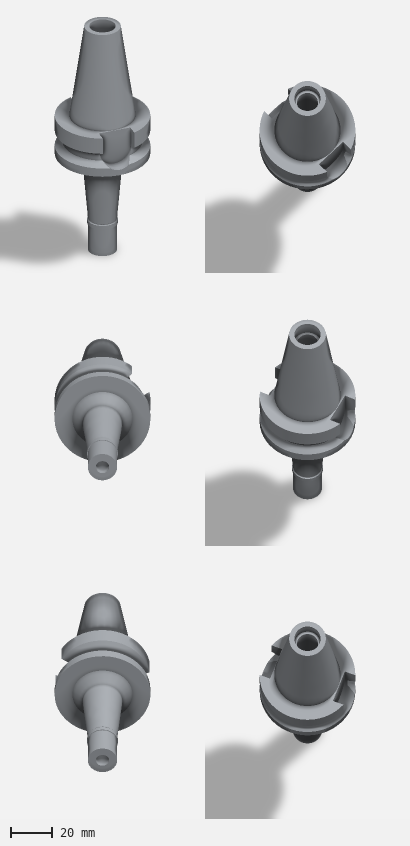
import cadquery as cq

TOTAL_HEIGHT = 123.4
TAPER_BASE_Z = 74.8
FLANGE_TOP_Z = 74.2
GROOVE_UPPER_EDGE_Z = 65.8
GROOVE_FLOOR_TOP_Z = 63.2
GROOVE_FLOOR_BOTTOM_Z = 59.8
GROOVE_LOWER_EDGE_Z = 57.6
FLANGE_BOTTOM_Z = 53.1
NECK_TOP_Z = 48.2
HOLDER_BOTTOM_Z = 17.6
COLLAR_TOP_Z = 16.9
COLLAR_BOTTOM_Z = 14.8

TAPER_BASE_RADIUS = 15.9
TAPER_RATIO = 7 / 24
TAPER_TIP_RADIUS = TAPER_BASE_RADIUS - TAPER_RATIO * (TOTAL_HEIGHT - TAPER_BASE_Z) / 2
FLANGE_DIAMETER = 46.0
FLANGE_RADIUS = FLANGE_DIAMETER / 2
GROOVE_RADIUS = 19.3
NECK_TOP_RADIUS = 9.6
SHOULDER_RADIUS = NECK_TOP_RADIUS + FLANGE_BOTTOM_Z - NECK_TOP_Z
NECK_BOTTOM_RADIUS = 7.0

SLOT_WIDTH = 16.2
SLOT_RADIUS = SLOT_WIDTH / 2
SLOT_FLOOR_X = 16.2
SLOT_BOTTOM_Z = 56.0
SLOT_DEPTH = FLANGE_RADIUS - SLOT_FLOOR_X

COUNTERBORE_RADIUS = 6.3
COUNTERBORE_DEPTH = 6.9
MIDDLE_BORE_RADIUS = 5.0
MIDDLE_BORE_BOTTOM_Z = FLANGE_BOTTOM_Z
LOWER_BORE_RADIUS = 4.0

NUT_RADIUS = 7.0
COLLAR_RADIUS = 7.4
NUT_NECK_RADIUS = 6.3
NUT_BORE_RADIUS = 3.2


def cylinder(radius, bottom_z, top_z):
    """Solid cylinder about the Z axis."""
    return cq.Workplane("XY").workplane(offset=bottom_z).circle(radius).extrude(top_z - bottom_z)


def make_blank():
    """Turned outside of the holder, as (radius, height) points."""
    profile = [
        (0, HOLDER_BOTTOM_Z),
        (NECK_BOTTOM_RADIUS, HOLDER_BOTTOM_Z),
        (NECK_TOP_RADIUS, NECK_TOP_Z),
        (SHOULDER_RADIUS, FLANGE_BOTTOM_Z),
        (FLANGE_RADIUS, FLANGE_BOTTOM_Z),
        (FLANGE_RADIUS, GROOVE_LOWER_EDGE_Z),
        (GROOVE_RADIUS, GROOVE_FLOOR_BOTTOM_Z),
        (GROOVE_RADIUS, GROOVE_FLOOR_TOP_Z),
        (FLANGE_RADIUS, GROOVE_UPPER_EDGE_Z),
        (FLANGE_RADIUS, FLANGE_TOP_Z),
        (TAPER_BASE_RADIUS, FLANGE_TOP_Z),
        (TAPER_BASE_RADIUS, TAPER_BASE_Z),
        (TAPER_TIP_RADIUS, TOTAL_HEIGHT),
        (0, TOTAL_HEIGHT),
    ]
    return cq.Workplane("XZ").polyline(profile).close().revolve(360, (0, 0, 0), (0, 1, 0))


def make_drive_slot():
    """Cutter for the +X slot: open at the flange top, with a round lower end."""
    arc_center_z = SLOT_BOTTOM_Z + SLOT_RADIUS
    return (
        cq.Workplane("YZ")
        .workplane(offset=SLOT_FLOOR_X)
        .moveTo(-SLOT_RADIUS, FLANGE_TOP_Z)
        .lineTo(-SLOT_RADIUS, arc_center_z)
        .threePointArc((0, SLOT_BOTTOM_Z), (SLOT_RADIUS, arc_center_z))
        .lineTo(SLOT_RADIUS, FLANGE_TOP_Z)
        .close()
        .extrude(SLOT_DEPTH)
    )


def make_holder_bore():
    """Cutter for the through bore, which widens in two steps toward the top."""
    lower_bore = cylinder(LOWER_BORE_RADIUS, HOLDER_BOTTOM_Z, TOTAL_HEIGHT)
    middle_bore = cylinder(MIDDLE_BORE_RADIUS, MIDDLE_BORE_BOTTOM_Z, TOTAL_HEIGHT)
    counterbore = cylinder(COUNTERBORE_RADIUS, TOTAL_HEIGHT - COUNTERBORE_DEPTH, TOTAL_HEIGHT)
    return lower_bore.union(middle_bore).union(counterbore)


def make_holder():
    """Tapered tool holder with a grooved flange and two drive slots."""
    holder = make_blank().cut(make_holder_bore())
    drive_slot = make_drive_slot()
    for angle in (0, 180):
        holder = holder.cut(drive_slot.rotate((0, 0, 0), (0, 0, 1), angle))
    return holder


def make_nut():
    """Nut with a collar; its narrow neck butts against the holder's lower end."""
    barrel = cylinder(NUT_RADIUS, 0, COLLAR_BOTTOM_Z)
    collar = cylinder(COLLAR_RADIUS, COLLAR_BOTTOM_Z, COLLAR_TOP_Z)
    neck = cylinder(NUT_NECK_RADIUS, COLLAR_TOP_Z, HOLDER_BOTTOM_Z)
    bore = cylinder(NUT_BORE_RADIUS, 0, HOLDER_BOTTOM_Z)
    return barrel.union(collar).union(neck).cut(bore)


holder = make_holder()
nut = make_nut()
result = cq.Compound.makeCompound([*holder.solids().vals(), *nut.solids().vals()])